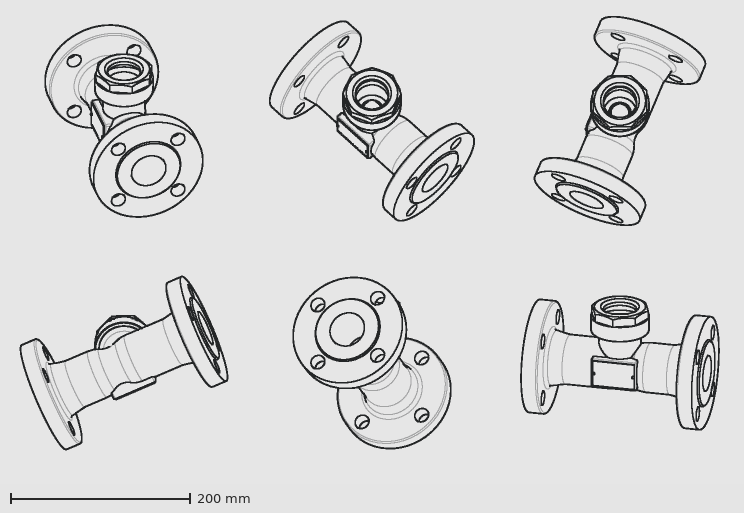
import cadquery as cq
import math

LENGTH = 200.0
HALF_LENGTH = LENGTH / 2
FLANGE_DIAMETER = 127.0
FLANGE_RADIUS = FLANGE_DIAMETER / 2
FLANGE_THICKNESS = 18.0
FLANGE_EDGE_RADIUS = 1.5
RAISED_FACE_HEIGHT = 2.0
RAISED_FACE_RADIUS = 36.5
RAISED_FACE_BASE_RADIUS = 37.5
PIPE_RADIUS = 28.0
HUB_RADIUS = 31.2
HUB_FILLET = 4.0
HUB_START = 76.0
HUB_END = 60.0
BORE_DIAMETER = 40.0
BORE_DEPTH = 70.0

BOLT_HOLE_DIAMETER = 16.0
BOLT_SPACING = 69.2

WAIST_CENTRE = 10.0
WAIST_RADIUS = 23.0
WAIST_SHOULDER_RADIUS = 25.5
WAIST_HALF_INNER = 10.5
WAIST_HALF_OUTER = 22.5

NECK_RADIUS = 47.0 / 2
COLLAR_RADIUS = 56.0 / 2
COLLAR_FILLET = COLLAR_RADIUS - NECK_RADIUS
NECK_TOP = 39.0
BOSS_TOP = 54.0
CHAMBER_DIAMETER = 37.0
CHAMBER_FLOOR = 28.0

RECESS_DIAMETER = 25.0
RECESS_DEPTH = 2.0
STUB_RADIUS = 23.0 / 2
STUB_HEIGHT = 4.0
STUB_BEVEL_HEIGHT = 0.5
DOME_RADIUS = 10.0

PAD_WIDTH = 51.5
PAD_HEIGHT = 34.5
PAD_BACK = 14.0
PAD_FRONT = 29.5
PAD_CORNER_RADIUS = 1.8
PAD_EDGE_RADIUS = 1.2
PLATE_MARGIN = 2.0
PLATE_THICKNESS = 1.2
RIVET_RADIUS = 1.5
RIVET_SPACING = 45.5

NUT_RADIUS = 65.0 / 2
NUT_SIDES = 8
NUT_BOTTOM = 42.0
NUT_BOTTOM_CHAMFER = 0.5
NUT_TOP = 134.5 - FLANGE_RADIUS
OCTAGON_BOTTOM = 59.8
NUT_TOP_FACE_RADIUS = 28.5
NUT_TOP_CHAMFER_ANGLE = 30
NUT_LIP_BOTTOM = 64.0
NUT_MOUTH_CHAMFER = 3.0


def upright_cylinder(diameter, bottom, top):
    """Cylinder on the Z axis between two heights."""
    return cq.Workplane("XY", origin=(0, 0, bottom)).circle(diameter / 2).extrude(top - bottom)


def flange_end():
    """Flange, raised face and tapered hub at the -X end, out to the plain pipe."""
    face = -HALF_LENGTH + RAISED_FACE_HEIGHT
    back = face + FLANGE_THICKNESS
    outline = (
        cq.Workplane("XY")
        .moveTo(-HALF_LENGTH, 0)
        .lineTo(-HALF_LENGTH, RAISED_FACE_RADIUS)
        .lineTo(face, RAISED_FACE_BASE_RADIUS)
        .lineTo(face, FLANGE_RADIUS)
        .lineTo(back - FLANGE_EDGE_RADIUS, FLANGE_RADIUS)
        .radiusArc((back, FLANGE_RADIUS - FLANGE_EDGE_RADIUS), FLANGE_EDGE_RADIUS)
        .lineTo(back, HUB_RADIUS + HUB_FILLET)
        .radiusArc((-HUB_START, HUB_RADIUS), -HUB_FILLET)
        .lineTo(-HUB_END, PIPE_RADIUS)
        .lineTo(-HUB_END, 0)
        .close()
    )
    return outline.revolve(360, (0, 0, 0), (1, 0, 0))


def waisted_pipe():
    """Pipe between the hubs, with a rounded waist around it."""
    inner_left = WAIST_CENTRE - WAIST_HALF_INNER
    inner_right = WAIST_CENTRE + WAIST_HALF_INNER
    outer_left = WAIST_CENTRE - WAIST_HALF_OUTER
    outer_right = WAIST_CENTRE + WAIST_HALF_OUTER
    run = WAIST_HALF_OUTER - WAIST_HALF_INNER
    drop = PIPE_RADIUS - WAIST_SHOULDER_RADIUS
    shoulder = (run**2 + drop**2) / (2 * drop)
    outline = (
        cq.Workplane("XY")
        .moveTo(-HUB_END, 0)
        .lineTo(-HUB_END, PIPE_RADIUS)
        .lineTo(outer_left, PIPE_RADIUS)
        .radiusArc((inner_left, WAIST_SHOULDER_RADIUS), shoulder)
        .threePointArc((WAIST_CENTRE, WAIST_RADIUS), (inner_right, WAIST_SHOULDER_RADIUS))
        .radiusArc((outer_right, PIPE_RADIUS), shoulder)
        .lineTo(HUB_END, PIPE_RADIUS)
        .lineTo(HUB_END, 0)
        .close()
    )
    return outline.revolve(360, (0, 0, 0), (1, 0, 0))


def boss():
    """Upright neck that widens through a fillet into the collar inside the nut."""
    outline = (
        cq.Workplane("XZ")
        .lineTo(NECK_RADIUS, 0)
        .lineTo(NECK_RADIUS, NECK_TOP)
        .radiusArc((COLLAR_RADIUS, NECK_TOP + COLLAR_FILLET), COLLAR_FILLET)
        .lineTo(COLLAR_RADIUS, BOSS_TOP)
        .lineTo(0, BOSS_TOP)
        .close()
    )
    return outline.revolve(360, (0, 0, 0), (0, 1, 0))


def pad():
    """Rounded pad carrying a thin plate with two round-headed rivets."""
    block = (
        cq.Workplane("XZ", origin=(0, -PAD_BACK, 0))
        .rect(PAD_WIDTH, PAD_HEIGHT)
        .extrude(PAD_FRONT - PAD_BACK)
        .edges("|Y")
        .fillet(PAD_CORNER_RADIUS)
        .faces("<Y")
        .edges()
        .fillet(PAD_EDGE_RADIUS)
    )
    plate = (
        cq.Workplane("XZ", origin=(0, -PAD_FRONT, 0))
        .rect(PAD_WIDTH - 2 * PLATE_MARGIN, PAD_HEIGHT - 2 * PLATE_MARGIN)
        .extrude(PLATE_THICKNESS)
    )
    padded = block.union(plate)
    plate_front = PAD_FRONT + PLATE_THICKNESS
    for side in (-1, 1):
        rivet = cq.Workplane("XY").sphere(RIVET_RADIUS)
        padded = padded.union(rivet.translate((side * RIVET_SPACING / 2, -plate_front, 0)))
    return padded


def domed_stub():
    """Short stub with a bevelled edge and a half-ball on top, standing in the recess."""
    stub_bottom = CHAMBER_FLOOR - RECESS_DEPTH
    stub_top = stub_bottom + STUB_HEIGHT
    outline = (
        cq.Workplane("XZ")
        .moveTo(0, stub_bottom)
        .lineTo(STUB_RADIUS, stub_bottom)
        .lineTo(STUB_RADIUS, stub_top - STUB_BEVEL_HEIGHT)
        .lineTo(DOME_RADIUS, stub_top)
        .radiusArc((0, stub_top + DOME_RADIUS), -DOME_RADIUS)
        .close()
    )
    return outline.revolve(360, (0, 0, 0), (0, 1, 0))


def make_housing():
    end = flange_end()
    body = waisted_pipe().union(end).union(end.mirror("YZ")).union(boss()).union(pad())

    bolt_holes = (
        cq.Workplane("YZ", origin=(-HALF_LENGTH, 0, 0))
        .rect(BOLT_SPACING, BOLT_SPACING, forConstruction=True)
        .vertices()
        .circle(BOLT_HOLE_DIAMETER / 2)
        .extrude(LENGTH)
    )
    bore = cq.Workplane("YZ", origin=(-HALF_LENGTH, 0, 0)).circle(BORE_DIAMETER / 2).extrude(BORE_DEPTH)
    chamber = upright_cylinder(CHAMBER_DIAMETER, CHAMBER_FLOOR, BOSS_TOP)
    recess = upright_cylinder(RECESS_DIAMETER, CHAMBER_FLOOR - RECESS_DEPTH, CHAMBER_FLOOR)

    body = body.cut(bolt_holes).cut(bore).cut(bore.mirror("YZ")).cut(chamber).cut(recess)
    return body.union(domed_stub())


def make_nut():
    """Nut with a round skirt below and an octagon above, screwed over the collar."""
    skirt = (
        cq.Workplane("XY", origin=(0, 0, NUT_BOTTOM))
        .circle(NUT_RADIUS)
        .extrude(OCTAGON_BOTTOM - NUT_BOTTOM)
        .faces("<Z")
        .chamfer(NUT_BOTTOM_CHAMFER)
    )
    octagon = (
        cq.Workplane("XY", origin=(0, 0, OCTAGON_BOTTOM))
        .polygon(NUT_SIDES, 2 * NUT_RADIUS)
        .extrude(NUT_TOP - OCTAGON_BOTTOM)
    )
    bevel_drop = (NUT_RADIUS - NUT_TOP_FACE_RADIUS) * math.tan(math.radians(NUT_TOP_CHAMFER_ANGLE))
    envelope = (
        cq.Workplane("XZ")
        .moveTo(0, OCTAGON_BOTTOM)
        .lineTo(NUT_RADIUS, OCTAGON_BOTTOM)
        .lineTo(NUT_RADIUS, NUT_TOP - bevel_drop)
        .lineTo(NUT_TOP_FACE_RADIUS, NUT_TOP)
        .lineTo(0, NUT_TOP)
        .close()
        .revolve(360, (0, 0, 0), (0, 1, 0))
    )
    mouth_radius = CHAMBER_DIAMETER / 2
    opening = (
        cq.Workplane("XZ")
        .moveTo(0, NUT_BOTTOM)
        .lineTo(COLLAR_RADIUS, NUT_BOTTOM)
        .lineTo(COLLAR_RADIUS, NUT_LIP_BOTTOM)
        .lineTo(mouth_radius, NUT_LIP_BOTTOM)
        .lineTo(mouth_radius, NUT_TOP - NUT_MOUTH_CHAMFER)
        .lineTo(mouth_radius + NUT_MOUTH_CHAMFER, NUT_TOP)
        .lineTo(0, NUT_TOP)
        .close()
        .revolve(360, (0, 0, 0), (0, 1, 0))
    )
    return skirt.union(octagon.intersect(envelope)).cut(opening)


housing = make_housing()
nut = make_nut()
result = cq.Compound.makeCompound([housing.val(), nut.val()])